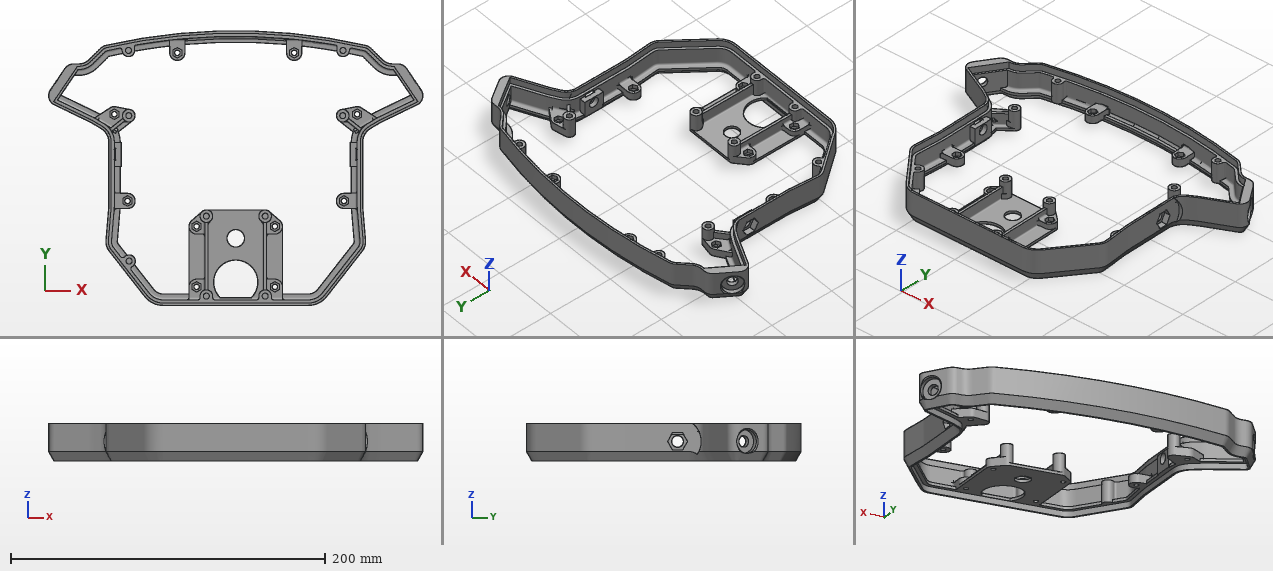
import cadquery as cq
import math

HEIGHT = 24.0
CHAMFER_HEIGHT = 6.0
CHAMFER_ANGLE = 30.0
LEDGE_Z = 19.0
UNDERSIDE_Z = 4.0
FOOT_Z = 6.0
LOW_BOSS_Z = 10.0
RIB_Z = 15.0
SIDE_PORT_Z = 12.5

RIM_INSET = 1.6
WALL_INSET = 3.6
FOOT_INSET = 7.4
FILLET = 1.5
BOTTOM_LIP_WIDTH = 1.2
WING_RIM = 5.9
WING_WALL = FOOT_INSET

WIDTH = 238.34
DEPTH = 175.0
TOP_ARC_RADIUS = 372.0
TOP_ARC_END_X = 84.6
SHOULDER_Y = 153.9
SHOULDER_END_X = 96.1
WING_TIP_Y = 131.05
WING_TIP_RADIUS = 6.5
WING_DIRECTION = math.radians(55.9)
UNDERWING_DIRECTION = math.radians(25.8)
ARMPIT_DIRECTION = math.radians(31.0)
UNDERWING_BEND_X = 91.9
WAIST_X = 80.9
WAIST_BOTTOM_Y = 63.0
HEEL = (53.5, 0.0)
HIP = (83.0, 37.7)
HEEL_RADIUS = 15.0

TALL_DIAMETER = 8.0
TALL_PILOT = 3.8
TALL_PILOT_DEPTH = 12.0
LOW_DIAMETER = 9.8
LOW_HOLE = 3.3
NUT_ACROSS_FLATS = 5.8
NUT_DEPTH = 3.0
TOP_TALL = (68.3, 162.4)
ELBOW_TALL = (68.1, 120.9)
HIP_TALL = (67.9, 28.3)
TOP_LOW = (37.2, 160.9)
ELBOW_LOW = (77.3, 121.8)
ELBOW_RIB_ROOT = (81.5, 110.2)
ELBOW_FLANGE_ROOT = (92.0, 118.0)
ELBOW_COVE_LENGTH = 14.0
WAIST_LOW = (68.9, 66.6)
PLATE_TALL_X = 18.7
PLATE_LOW_X = 24.9
PLATE_TALL_YS = (6.0, 56.9)
PLATE_LOW_YS = (11.9, 50.4)

RIB_WIDTH = 2.0
RIB_FILLET = 1.0
SMALL_HOLE = 11.0
SMALL_HOLE_Y = 42.8
LARGE_HOLE = 28.0
LARGE_HOLE_Y = 14.9
LARGE_HOLE_FLAT_Y = WALL_INSET + FILLET

PORT_HOLE = 7.3
HEX_PORT_Y = 96.2
HEX_ACROSS_FLATS = 11.0
HEX_DEPTH = 4.5
SPOTFACE_DIAMETER = 30.0
PAD_DEPTH = 8.1
PAD_LENGTH = 15.5
PAD_Z = 17.0
WING_PORT_Y = 140.6
WING_BORE = 15.0
WING_BORE_DEPTH = 4.0
WING_BORE_CHAMFER = 0.8

WEB_ROOT = 1.5
MARGIN = 30.0


def wing_tip():
    """Sharp corner of the wing, placed so that its rounded tip gives the full width."""
    bisector = (WING_DIRECTION - UNDERWING_DIRECTION) / 2
    half_angle = (WING_DIRECTION + UNDERWING_DIRECTION) / 2
    overshoot = WING_TIP_RADIUS * (math.cos(bisector) / math.sin(half_angle) - 1)
    return (WIDTH / 2 + overshoot, WING_TIP_Y)


def outline_corners():
    """Sharp corners of the right half with their rounding radii, bottom to top."""
    tip_x, tip_y = wing_tip()
    shoulder_x = tip_x - (SHOULDER_Y - tip_y) / math.tan(WING_DIRECTION)
    bend_y = tip_y - (tip_x - UNDERWING_BEND_X) * math.tan(UNDERWING_DIRECTION)
    armpit_y = bend_y - (UNDERWING_BEND_X - WAIST_X) * math.tan(ARMPIT_DIRECTION)
    return [
        (HEEL, HEEL_RADIUS),
        (HIP, 10.0),
        ((WAIST_X, WAIST_BOTTOM_Y), 27.0),
        ((WAIST_X, armpit_y), 10.0),
        ((UNDERWING_BEND_X, bend_y), 35.0),
        ((tip_x, tip_y), WING_TIP_RADIUS),
        ((shoulder_x, SHOULDER_Y), 7.0),
        ((SHOULDER_END_X, SHOULDER_Y), 9.0),
        (top_arc_end(), 8.0),
    ]


def top_arc_end():
    rise = math.sqrt(TOP_ARC_RADIUS ** 2 - TOP_ARC_END_X ** 2)
    return (TOP_ARC_END_X, DEPTH - TOP_ARC_RADIUS + rise)


def toward(start, end, distance):
    length = math.dist(start, end)
    return tuple(s + (e - s) * distance / length for s, e in zip(start, end))


def rounded_corner(before, corner, after, radius):
    """Start, middle and end of the arc that rounds a corner."""
    angle_in = math.atan2(before[1] - corner[1], before[0] - corner[0])
    angle_out = math.atan2(after[1] - corner[1], after[0] - corner[0])
    half_angle = abs(math.remainder(angle_out - angle_in, math.tau)) / 2
    tangent = radius / math.tan(half_angle)
    start = toward(corner, before, tangent)
    end = toward(corner, after, tangent)
    chord_middle = tuple((s + e) / 2 for s, e in zip(start, end))
    middle = toward(corner, chord_middle, radius / math.sin(half_angle) - radius)
    return start, middle, end


def outline():
    corners = outline_corners()
    end_x, end_y = corners[-1][0]
    slope = end_x / (end_y - DEPTH + TOP_ARC_RADIUS)
    tangent_point = (0.0, end_y + end_x * slope)
    points = [(0.0, 0.0)] + [corner for corner, _ in corners] + [tangent_point]
    arcs = [
        rounded_corner(points[i], points[i + 1], points[i + 2], corners[i][1])
        for i in range(len(corners))
    ]
    mirrored = [[(-x, y) for x, y in reversed(arc)] for arc in reversed(arcs)]
    path = cq.Workplane("XY").moveTo(0, 0)
    for start, middle, end in arcs:
        path = path.lineTo(*start).threePointArc(middle, end)
    path = path.threePointArc((0, DEPTH), mirrored[0][0])
    for index, (start, middle, end) in enumerate(mirrored):
        if index:
            path = path.lineTo(*start)
        path = path.threePointArc(middle, end)
    return path.close()


def inset_prism(inset, bottom, top):
    return outline().offset2D(-inset).extrude(top - bottom).translate((0, 0, bottom))


def cylinder(center, diameter, bottom, top):
    return cq.Workplane("XY", origin=(*center, bottom)).circle(diameter / 2).extrude(top - bottom)


def bar(start, end, width, bottom, top):
    """Straight upright bar of given width between two plan points."""
    length = math.dist(start, end)
    angle = math.degrees(math.atan2(end[1] - start[1], end[0] - start[0]))
    block = cq.Workplane("XY").box(length, width, top - bottom, centered=(False, True, False))
    return block.rotate((0, 0, 0), (0, 0, 1), angle).translate((*start, bottom))


def prism(points, bottom, top):
    return cq.Workplane("XY", origin=(0, 0, bottom)).polyline(points).close().extrude(top - bottom)


def tangent_band(center_a, radius_a, center_b, radius_b, bottom, top):
    """Straight-sided band bounded by the two outer tangents of a pair of circles."""
    axis = math.atan2(center_b[1] - center_a[1], center_b[0] - center_a[0])
    lean = math.acos((radius_a - radius_b) / math.dist(center_a, center_b))
    points = [
        offset_point(center_a, axis + lean, radius_a),
        offset_point(center_a, axis - lean, radius_a),
        offset_point(center_b, axis - lean, radius_b),
    ]
    if radius_b:
        points.append(offset_point(center_b, axis + lean, radius_b))
    return prism(points, bottom, top)


def both_sides(shape):
    return shape.union(shape.mirror("YZ"))


def offset_point(point, angle, distance):
    return (point[0] + distance * math.cos(angle), point[1] + distance * math.sin(angle))


def outer_body():
    upper = outline().extrude(HEIGHT - CHAMFER_HEIGHT).translate((0, 0, CHAMFER_HEIGHT))
    lower = outline().extrude(CHAMFER_HEIGHT, taper=CHAMFER_ANGLE)
    lower = lower.mirror("XY").translate((0, 0, CHAMFER_HEIGHT))
    return upper.union(lower)


def wing_slab(thickness, bottom, top):
    """Band of the given thickness just inside the wing edge."""
    tip = wing_tip()
    along = math.pi - WING_DIRECTION
    start = offset_point(offset_point(tip, along, -MARGIN), along + math.pi / 2, thickness / 2)
    end = offset_point(offset_point(tip, along, 2 * MARGIN), along + math.pi / 2, thickness / 2)
    return both_sides(bar(start, end, thickness, bottom, top))


def cavity():
    rim = inset_prism(RIM_INSET, LEDGE_Z, HEIGHT).cut(wing_slab(WING_RIM, LEDGE_Z, HEIGHT))
    wall = inset_prism(WALL_INSET, FOOT_Z, LEDGE_Z).faces("<Z").edges().fillet(FILLET)
    wall = wall.cut(wing_slab(WING_WALL, FOOT_Z, LEDGE_Z))
    foot = inset_prism(FOOT_INSET, UNDERSIDE_Z, FOOT_Z)
    return rim.union(wall).union(foot).union(underside())


def underside():
    """Recess below the foot, inside the bottom lip."""
    lip_inset = CHAMFER_HEIGHT * math.tan(math.radians(CHAMFER_ANGLE)) + BOTTOM_LIP_WIDTH
    return inset_prism(lip_inset, 0, UNDERSIDE_Z)


def web(center, direction, reach, width, top, flare=FILLET):
    """Web from a point to a face at the given reach, flaring where it meets that face."""
    half = width / 2
    wide = half + flare
    flare_start = reach - flare
    mid_x = flare_start + flare * math.sin(math.pi / 4)
    mid_y = half + flare * (1 - math.cos(math.pi / 4))
    profile = (
        cq.Workplane("XY").moveTo(0, -half).lineTo(flare_start, -half)
        .threePointArc((mid_x, -mid_y), (reach, -wide))
        .lineTo(reach + WEB_ROOT, -wide).lineTo(reach + WEB_ROOT, wide).lineTo(reach, wide)
        .threePointArc((mid_x, mid_y), (flare_start, half))
        .lineTo(0, half).close()
    )
    upright = profile.extrude(top - UNDERSIDE_Z).rotate((0, 0, 0), (0, 0, 1), direction)
    return upright.translate((*center, UNDERSIDE_Z))


def rib_to_boss(start, center):
    """Thin rib from a wall to a tall boss, flaring onto the round side of the boss."""
    flared_half_width = RIB_WIDTH / 2 + RIB_FILLET
    set_back = math.sqrt((TALL_DIAMETER / 2) ** 2 - flared_half_width ** 2)
    direction = math.degrees(math.atan2(center[1] - start[1], center[0] - start[0]))
    reach = math.dist(start, center) - set_back
    return web(start, direction, reach, RIB_WIDTH, RIB_Z, RIB_FILLET)


def cove(center, direction, reach, length, top):
    """Concave fillet between the top of a web and the wall above it."""
    middle = (
        reach - FILLET + FILLET * math.sin(math.pi / 4),
        top + FILLET * (1 - math.cos(math.pi / 4)),
    )
    strip = (
        cq.Workplane("XZ", origin=(0, length / 2, 0)).moveTo(reach - FILLET, top)
        .threePointArc(middle, (reach, top + FILLET))
        .lineTo(reach + WEB_ROOT, top + FILLET).lineTo(reach + WEB_ROOT, top).close()
        .extrude(length)
    )
    return strip.rotate((0, 0, 0), (0, 0, 1), direction).translate((*center, 0))


def boss(center, diameter, top):
    return cylinder(center, diameter, UNDERSIDE_Z, top)


def wall_boss(center, direction, reach, diameter, top):
    """Round boss joined to the wall by a web of its own width."""
    joined = boss(center, diameter, top).union(web(center, direction, reach, diameter, top))
    if top < LEDGE_Z:
        joined = joined.union(cove(center, direction, reach, diameter, top))
    return joined


def top_wall_y(x):
    """Inner face of the arched top wall."""
    radius = TOP_ARC_RADIUS - WALL_INSET
    return DEPTH - TOP_ARC_RADIUS + math.sqrt(radius ** 2 - x ** 2)


def hip_wall():
    """Outward direction in degrees, and distance from the hip boss, of the slanted wall's inner face."""
    outward = math.atan2(HEEL[0] - HIP[0], HIP[1] - HEEL[1])
    distance = (HIP[0] - HIP_TALL[0]) * math.cos(outward) + (HIP[1] - HIP_TALL[1]) * math.sin(outward)
    return math.degrees(outward), distance - WALL_INSET


def wall_bosses():
    arc_center_y = DEPTH - TOP_ARC_RADIUS
    radial = math.degrees(math.atan2(TOP_TALL[1] - arc_center_y, TOP_TALL[0]))
    top_reach = TOP_ARC_RADIUS - WALL_INSET - math.dist(TOP_TALL, (0, arc_center_y))
    top_low_reach = top_wall_y(TOP_LOW[0]) - TOP_LOW[1]
    waist_reach = WAIST_X - WALL_INSET - WAIST_LOW[0]
    bosses = wall_boss(TOP_TALL, radial, top_reach, TALL_DIAMETER, LEDGE_Z)
    bosses = bosses.union(wall_boss(HIP_TALL, *hip_wall(), TALL_DIAMETER, LEDGE_Z))
    bosses = bosses.union(wall_boss(TOP_LOW, 90, top_low_reach, LOW_DIAMETER, LOW_BOSS_Z))
    return bosses.union(wall_boss(WAIST_LOW, 0, waist_reach, LOW_DIAMETER, LOW_BOSS_Z))


def elbow_rib():
    """Rib from the armpit to the tall boss, standing on a foot as wide as the boss."""
    length = math.dist(ELBOW_RIB_ROOT, ELBOW_TALL)
    foot = bar((0, 0), (length, 0), TALL_DIAMETER, UNDERSIDE_Z, FOOT_Z)
    rib = bar((0, 0), (length, 0), RIB_WIDTH, UNDERSIDE_Z, RIB_Z)
    corner = (length + 1, RIB_WIDTH, FOOT_Z + 1)
    rib_zone = cq.selectors.BoxSelector((-1, -RIB_WIDTH, FOOT_Z - 1), corner)
    filleted = foot.union(rib).edges("|X").edges(rib_zone).fillet(RIB_FILLET)
    rise = ELBOW_TALL[1] - ELBOW_RIB_ROOT[1]
    direction = math.degrees(math.atan2(rise, ELBOW_TALL[0] - ELBOW_RIB_ROOT[0]))
    placed = filleted.rotate((0, 0, 0), (0, 0, 1), direction).translate((*ELBOW_RIB_ROOT, 0))
    return placed.union(rib_to_boss(ELBOW_RIB_ROOT, ELBOW_TALL))


def elbow_flange():
    """Low flange carrying the nut hole between the rib, the tall boss and the wall under the wing."""
    heights = (UNDERSIDE_Z, LOW_BOSS_Z)
    radius = LOW_DIAMETER / 2
    corners = [ELBOW_RIB_ROOT, ELBOW_TALL, ELBOW_LOW, ELBOW_FLANGE_ROOT]
    flange = prism(corners, *heights).union(boss(ELBOW_LOW, LOW_DIAMETER, LOW_BOSS_Z))
    flange = flange.union(tangent_band(ELBOW_LOW, radius, ELBOW_TALL, TALL_DIAMETER / 2, *heights))
    return flange.union(tangent_band(ELBOW_LOW, radius, ELBOW_FLANGE_ROOT, 0, *heights))


def elbow_cove():
    """Fillet where the flange meets the wall under the wing."""
    tip_x, tip_y = wing_tip()
    bend_y = tip_y - (tip_x - UNDERWING_BEND_X) * math.tan(UNDERWING_DIRECTION)
    outward = ARMPIT_DIRECTION - math.pi / 2
    distance = (
        (UNDERWING_BEND_X - ELBOW_LOW[0]) * math.cos(outward)
        + (bend_y - ELBOW_LOW[1]) * math.sin(outward)
    )
    reach = distance - WALL_INSET
    return cove(ELBOW_LOW, math.degrees(outward), reach, ELBOW_COVE_LENGTH, LOW_BOSS_Z)


def elbow():
    """Tall boss on a rib from the armpit of the wing, with a low nut boss beside it."""
    parts = boss(ELBOW_TALL, TALL_DIAMETER, LEDGE_Z).union(elbow_rib())
    return parts.union(elbow_flange()).union(elbow_cove())


def plate():
    low_center = (PLATE_LOW_X, PLATE_LOW_YS[1])
    tall_center = (PLATE_TALL_X, PLATE_TALL_YS[1])
    heights = (UNDERSIDE_Z, FOOT_Z)
    edge_x = PLATE_LOW_X + LOW_DIAMETER / 2
    top_y = PLATE_TALL_YS[1] + TALL_DIAMETER / 2
    stepped = [
        (0, 0), (edge_x, 0), (edge_x, low_center[1]), low_center,
        tall_center, (PLATE_TALL_X, top_y), (0, top_y),
    ]
    half = prism(stepped, *heights)
    half = half.union(cylinder(low_center, LOW_DIAMETER, *heights))
    half = half.union(cylinder(tall_center, TALL_DIAMETER, *heights))
    corner = tangent_band(low_center, LOW_DIAMETER / 2, tall_center, TALL_DIAMETER / 2, *heights)
    base = both_sides(half.union(corner)).clean()
    rib_ends = [(PLATE_TALL_X, y) for y in (0, PLATE_TALL_YS[1])]
    ribs = both_sides(bar(*rib_ends, RIB_WIDTH, UNDERSIDE_Z, RIB_Z))
    ribbed = base.union(ribs)
    rib_zone_x = PLATE_TALL_X + RIB_WIDTH
    rib_zone = cq.selectors.BoxSelector((-rib_zone_x, 0, FOOT_Z - 1), (rib_zone_x, DEPTH, FOOT_Z + 1))
    return ribbed.edges("|Y").edges(rib_zone).fillet(RIB_FILLET)


def plate_bosses():
    lower, upper = [(PLATE_LOW_X, y) for y in PLATE_LOW_YS]
    wall_tall, far_tall = [(PLATE_TALL_X, y) for y in PLATE_TALL_YS]
    rib_reach = PLATE_LOW_X - PLATE_TALL_X - RIB_WIDTH / 2
    bosses = boss(far_tall, TALL_DIAMETER, LEDGE_Z)
    for center, diameter, top in ((wall_tall, TALL_DIAMETER, LEDGE_Z), (lower, LOW_DIAMETER, LOW_BOSS_Z)):
        bosses = bosses.union(wall_boss(center, -90, center[1] - WALL_INSET, diameter, top))
    for center in (lower, upper):
        bosses = bosses.union(wall_boss(center, 180, rib_reach, LOW_DIAMETER, LOW_BOSS_Z))
    bosses = bosses.union(rib_to_boss((PLATE_TALL_X, PLATE_LOW_YS[0]), far_tall))
    bosses = bosses.union(rib_to_boss((PLATE_TALL_X, PLATE_LOW_YS[1] - LOW_DIAMETER), wall_tall))
    link = tangent_band(
        upper, LOW_DIAMETER / 2, far_tall, TALL_DIAMETER / 2, UNDERSIDE_Z, LOW_BOSS_Z
    )
    return bosses.union(link)


def plate_holes():
    large = cylinder((0, LARGE_HOLE_Y), LARGE_HOLE, UNDERSIDE_Z, FOOT_Z)
    large = large.intersect(
        cq.Workplane("XY").box(LARGE_HOLE, DEPTH, HEIGHT, centered=(True, False, False))
        .translate((0, LARGE_HOLE_FLAT_Y, 0))
    )
    return large.union(cylinder((0, SMALL_HOLE_Y), SMALL_HOLE, UNDERSIDE_Z, FOOT_Z))


def tall_pilots():
    centers = [TOP_TALL, ELBOW_TALL, HIP_TALL] + [(PLATE_TALL_X, y) for y in PLATE_TALL_YS]
    pilots = cq.Workplane("XY")
    for center in centers:
        pilots = pilots.add(cylinder(center, TALL_PILOT, LEDGE_Z - TALL_PILOT_DEPTH, LEDGE_Z))
    return pilots.combine()


def nut_holes():
    centers = [TOP_LOW, ELBOW_LOW, WAIST_LOW] + [(PLATE_LOW_X, y) for y in PLATE_LOW_YS]
    corner_diameter = NUT_ACROSS_FLATS / math.cos(math.pi / 6)
    holes = cq.Workplane("XY")
    for center in centers:
        nut = (
            cq.Workplane("XY").polygon(6, corner_diameter).extrude(NUT_DEPTH)
            .rotate((0, 0, 0), (0, 0, 1), 90)
            .translate((*center, LOW_BOSS_Z - NUT_DEPTH))
        )
        holes = holes.add(nut.union(cylinder(center, LOW_HOLE, UNDERSIDE_Z, LOW_BOSS_Z)))
    return holes.combine()


def port_pad():
    size = (PAD_DEPTH, PAD_LENGTH, PAD_Z - UNDERSIDE_Z)
    pad = cq.Workplane("XY").box(*size, centered=(False, True, False))
    return pad.translate((WAIST_X - PAD_DEPTH, HEX_PORT_Y, UNDERSIDE_Z))


def hex_port():
    """Spotface, hexagonal nut pocket and through hole along X in the waist wall."""
    outward = cq.Workplane("YZ", origin=(WAIST_X, HEX_PORT_Y, SIDE_PORT_Z))
    spotface = outward.circle(SPOTFACE_DIAMETER / 2).extrude(MARGIN / 4)
    nut = outward.polygon(6, HEX_ACROSS_FLATS / math.cos(math.pi / 6)).extrude(-HEX_DEPTH)
    hole = outward.circle(PORT_HOLE / 2).extrude(-PAD_DEPTH)
    return spotface.union(nut).union(hole)


def wing_port():
    """Counterbored hole square to the wing edge, opening outward."""
    tip_x, tip_y = wing_tip()
    mouth_x = tip_x - (WING_PORT_Y - tip_y) / math.tan(WING_DIRECTION)
    outward = (math.sin(WING_DIRECTION), math.cos(WING_DIRECTION), 0)
    face = cq.Workplane(
        cq.Plane((mouth_x, WING_PORT_Y, SIDE_PORT_Z), xDir=(0, 0, 1), normal=outward)
    )
    bore = face.circle(WING_BORE / 2).extrude(-WING_BORE_DEPTH)
    flare = face.circle(WING_BORE / 2 + WING_BORE_CHAMFER).extrude(-WING_BORE_CHAMFER, taper=45)
    hole = face.circle(PORT_HOLE / 2).extrude(-WING_WALL)
    return bore.union(flare).union(hole)


def build():
    body = outer_body()
    additions = both_sides(wall_bosses().union(elbow()).union(port_pad()))
    additions = additions.union(plate()).union(both_sides(plate_bosses())).intersect(body)
    part = body.cut(cavity()).union(additions)
    part = part.cut(plate_holes())
    part = part.cut(both_sides(tall_pilots())).cut(both_sides(nut_holes()))
    return part.cut(both_sides(hex_port().union(wing_port())))


result = build()